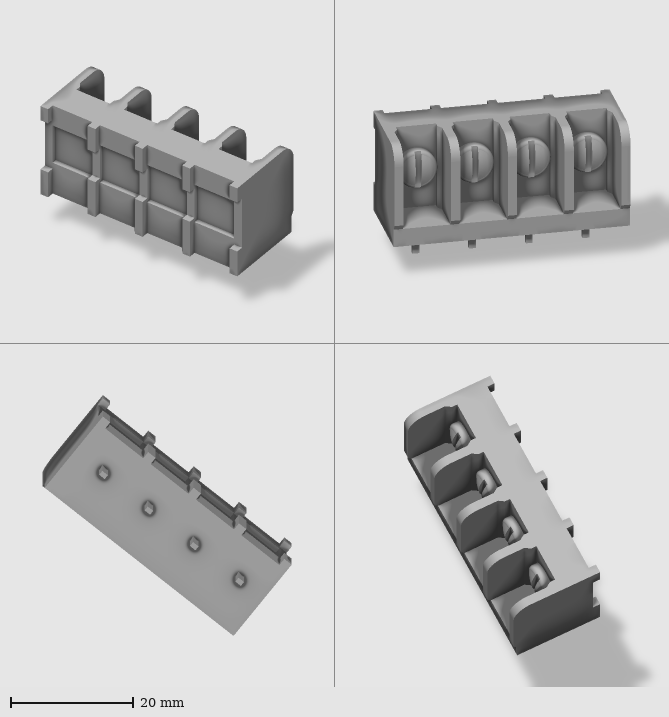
import cadquery as cq


length = 39.65
depth = 15.9
height = 17.8
poles = 4
wall = 1.55
pitch = (length - wall) / poles
cell_width = pitch - wall
wall_round = 3.17
back_step = 0.65
base_height = 3.15
step_slope_top = 4.05

rib_depth = 1.3
end_rib_top = 2.85
end_rib_bottom = 5.05
middle_rib_top = 4.8
middle_rib_bottom = 7.05
recess_depth = 0.9
recess_bottom = 6.23
recess_top_margin = 4.05
recess_top = height - recess_top_margin

head_diameter = 6.75
head_seat = 7.18
head_rim = 0.95
head_shoulder = 0.7
shoulder_inset = 0.6
dome_rise = 0.7
drive_slot_width = 1.07
drive_slot_floor = 1.3
head_height = head_rim + head_shoulder + dome_rise
head_z = (base_height + height) / 2

flare_length = 0.95
flare_start = head_seat + head_rim
flare_end = flare_start + flare_length

pin_width = 1.15
pin_thickness = 0.85
pin_length = 5.25
pin_y = 6.75

wall_starts = [i * pitch for i in range(poles + 1)]
pole_centers = [wall / 2 + (i + 0.5) * pitch for i in range(poles)]


def block(x_range, y_range, z_range):
    """Box given by its limits along each axis."""
    (x0, x1), (y0, y1), (z0, z1) = x_range, y_range, z_range
    return cq.Workplane("XY").box(x1 - x0, y1 - y0, z1 - z0, centered=False).translate((x0, y0, z0))


def housing():
    """Solid block with the side profile of the barrier walls."""
    profile = (
        cq.Workplane("YZ")
        .moveTo(rib_depth, 0)
        .lineTo(depth - back_step, 0)
        .lineTo(depth - back_step, base_height)
        .lineTo(depth, step_slope_top)
        .lineTo(depth, height - wall_round)
        .radiusArc((depth - wall_round, height), -wall_round)
        .lineTo(rib_depth, height)
        .close()
    )
    return profile.extrude(length)


def pocket(x):
    """Space between two walls, open at the top and the rear."""
    half_head = head_diameter / 2
    half_cell = cell_width / 2
    outline = [
        (x - half_head, head_seat),
        (x + half_head, head_seat),
        (x + half_head, flare_start),
        (x + half_cell, flare_end),
        (x + half_cell, depth),
        (x - half_cell, depth),
        (x - half_cell, flare_end),
        (x - half_head, flare_start),
    ]
    floor = cq.Workplane("XY").workplane(offset=base_height)
    return floor.polyline(outline).close().extrude(height - base_height)


def recess(x):
    """Shallow window in the front face of one pole."""
    return block(
        (x - cell_width / 2, x + cell_width / 2),
        (rib_depth, rib_depth + recess_depth),
        (recess_bottom, recess_top),
    )


def rib_pair(x, top_length, bottom_length):
    """Upper and lower rib pieces in front of one wall."""
    upper = block((x, x + wall), (0, rib_depth), (height - top_length, height))
    lower = block((x, x + wall), (0, rib_depth), (0, bottom_length))
    return upper, lower


def screw_head(x):
    """Domed, slotted screw head facing the rear."""
    radius = head_diameter / 2
    dome_edge = radius - shoulder_inset
    dome_radius = (dome_edge**2 + dome_rise**2) / (2 * dome_rise)
    shoulder_top = head_rim + head_shoulder
    head = (
        cq.Workplane("XY")
        .moveTo(0, 0)
        .lineTo(radius, 0)
        .lineTo(radius, head_rim)
        .tangentArcPoint((dome_edge, shoulder_top), relative=False)
        .radiusArc((0, head_height), -dome_radius)
        .close()
        .revolve(360, (0, 0, 0), (0, 1, 0))
    )
    slot = block(
        (-drive_slot_width / 2, drive_slot_width / 2),
        (drive_slot_floor, head_height),
        (-radius, radius),
    )
    return head.cut(slot).translate((x, head_seat, head_z))


def pin(x):
    """Solder pin below one pole."""
    return block(
        (x - pin_width / 2, x + pin_width / 2),
        (pin_y - pin_thickness / 2, pin_y + pin_thickness / 2),
        (-pin_length, 0),
    )


result = housing()
for center in pole_centers:
    result = result.cut(pocket(center)).cut(recess(center))
    result = result.union(screw_head(center)).union(pin(center))
for index, start in enumerate(wall_starts):
    if index in (0, poles):
        upper_rib, lower_rib = rib_pair(start, end_rib_top, end_rib_bottom)
    else:
        upper_rib, lower_rib = rib_pair(start, middle_rib_top, middle_rib_bottom)
    result = result.union(upper_rib).union(lower_rib)